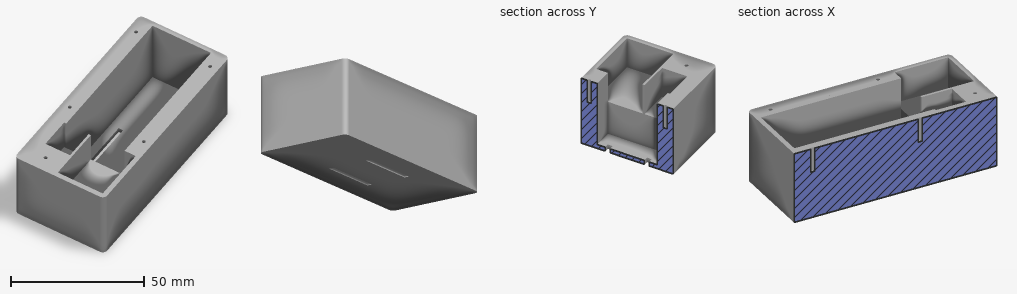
import cadquery as cq

width = 40.0
length = 87.0
height = 30.0
corner_radius = 2.0
wall = 2.0

main_width = 26.0
main_length = 60.0
floor_thickness = 2.0

pocket_depth = 13.3
large_pocket_width = 20.0
divider = 1.0
small_pocket_width = 11.0
small_pocket_length = 13.0

slot_width = 2.0
slot_length = 25.0
slot_spacing = 17.0
slot_front_gap = 6.0

hole_diameter = 1.5
hole_depth = 10.0
hole_spacing_x = 33.0
rear_hole_inset = 8.0
hole_spacing_y = 46.1
front_hole_x = -10.0
front_hole_inset = 6.0

right_inside = width / 2 - wall
front_inside = -length / 2 + wall
rear_inside = length / 2 - wall
main_front = rear_inside - main_length
large_pocket_left = right_inside - large_pocket_width
small_pocket_right = large_pocket_left - divider
slot_front = main_front + slot_front_gap
rear_hole_y = length / 2 - rear_hole_inset


def box_between(x_min, x_max, y_min, y_max, z_min, z_max):
    """Return a box given by its limits along each axis."""
    size = (x_max - x_min, y_max - y_min, z_max - z_min)
    return cq.Workplane("XY").box(*size, centered=False).translate((x_min, y_min, z_min))


def make_block():
    """Solid block with rounded vertical edges."""
    block = cq.Workplane("XY").box(width, length, height, centered=(True, True, False))
    return block.edges("|Z").fillet(corner_radius)


def make_main_cavity():
    return box_between(-main_width / 2, main_width / 2, main_front, rear_inside, floor_thickness, height)


def make_large_pocket():
    pocket_floor = height - pocket_depth
    return box_between(large_pocket_left, right_inside, front_inside, main_front, pocket_floor, height)


def make_small_pocket():
    left = small_pocket_right - small_pocket_width
    front = main_front - small_pocket_length
    return box_between(left, small_pocket_right, front, main_front, height - pocket_depth, height)


def make_slots():
    """Pair of lengthwise slots through the cavity floor."""
    return (
        cq.Workplane("XY")
        .pushPoints([(side * slot_spacing / 2, slot_front + slot_length / 2) for side in (-1, 1)])
        .rect(slot_width, slot_length)
        .extrude(floor_thickness)
    )


def make_screw_holes():
    """Four holes along the side rims and one in the front left corner."""
    points = [
        (side * hole_spacing_x / 2, y)
        for side in (-1, 1)
        for y in (rear_hole_y, rear_hole_y - hole_spacing_y)
    ]
    points.append((front_hole_x, -length / 2 + front_hole_inset))
    return (
        cq.Workplane("XY", origin=(0, 0, height))
        .pushPoints(points)
        .circle(hole_diameter / 2)
        .extrude(-hole_depth)
    )


result = (
    make_block()
    .cut(make_main_cavity())
    .cut(make_large_pocket())
    .cut(make_small_pocket())
    .cut(make_slots())
    .cut(make_screw_holes())
)